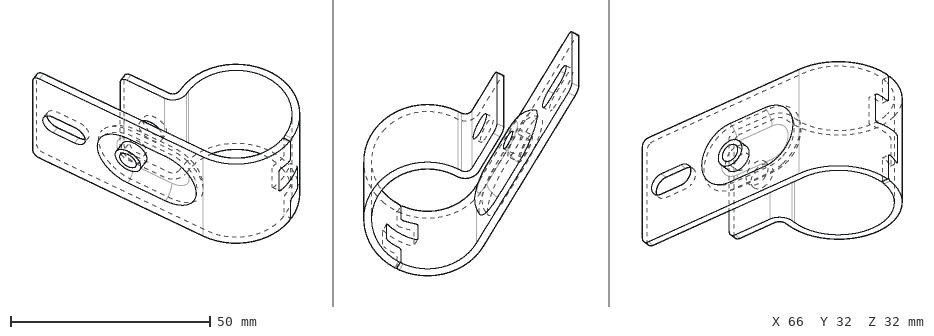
import cadquery as cq
import math


width = 32.0
ring_diameter = 32.0
thickness = 2.0
corner_radius = 2.0
ring_radius = ring_diameter / 2
inner_radius = ring_radius - thickness
overall_length = 66.0
plate_length = overall_length - ring_radius
plate_face = -ring_radius
plate_back = plate_face + thickness

slot_length = 12.5
slot_width = 6.2
slot_end_margin = 3.0
slot_center_x = -plate_length + slot_end_margin + slot_length / 2

dimple_depth = 3.05
dimple_inner_edge_radius = 4.0
dimple_outer_edge_radius = 5.2
dimple_floor_radius = 5.1
dimple_boss_x = -22.05
dimple_far_x = -10.95
dimple_span = dimple_far_x - dimple_boss_x
boss_diameter = 7.5
boss_hole_diameter = 4.9
boss_length = 3.0
dimple_floor_y = plate_face + dimple_depth
dimple_back_y = dimple_floor_y + thickness

flange_end_x = -31.0
flange_hole_diameter = 7.0
bend_radius = 2.0
bend_straight = 1.0
bend_center_x = -ring_radius - bend_radius
bend_outer_radius = bend_radius + thickness
flange_top_y = -bend_straight - bend_radius
flange_bottom_y = flange_top_y - thickness

tongue_reach = 4.5
tongue_height = 8.0
tongue_flare = 0.45
joint_radius = 0.65


def arc_point(center_x, center_y, radius, degrees):
    """Point on a circle at the given angle from +X."""
    angle = math.radians(degrees)
    return center_x + radius * math.cos(angle), center_y + radius * math.sin(angle)


def extrude_width(outline):
    """Extrude a closed XY outline over the full width of the strip."""
    return outline.extrude(width / 2, both=True)


def ring_side():
    """The half of the ring on the +X side, before it is split at the joint."""
    return extrude_width(
        cq.Workplane("XY")
        .moveTo(0, -ring_radius)
        .threePointArc((ring_radius, 0), (0, ring_radius))
        .lineTo(0, inner_radius)
        .threePointArc((inner_radius, 0), (0, -inner_radius))
        .close()
    )


def front_of_joint():
    """Space in front of the stepped joint line, with rounded steps."""
    block = (
        cq.Workplane("YZ")
        .moveTo(-ring_diameter, width)
        .lineTo(0, width)
        .lineTo(0, tongue_height)
        .lineTo(-tongue_reach, tongue_height + tongue_flare)
        .lineTo(-tongue_reach, -tongue_flare)
        .lineTo(tongue_reach, tongue_flare)
        .lineTo(tongue_reach, -tongue_height - tongue_flare)
        .lineTo(0, -tongue_height)
        .lineTo(0, -width)
        .lineTo(-ring_diameter, -width)
        .close()
        .extrude(ring_diameter)
    )
    steps = cq.selectors.BoxSelector(
        (0, -ring_radius, -width / 2), (ring_diameter, ring_radius, width / 2)
    )
    return block.edges("|X").edges(steps).fillet(joint_radius)


def round_joint_ends(half):
    """Round the two outer corners where a half meets the joint plane."""
    middle_x = ring_radius - thickness / 2
    for end_z in (-width / 2, width / 2):
        corner = cq.selectors.NearestToPointSelector((middle_x, 0, end_z))
        half = half.edges("|X").edges(corner).fillet(joint_radius)
    return half


def flat_strip(start_x, end_x, bottom_y):
    """Flat strip with its two corners rounded at the -X end."""
    return (
        cq.Workplane("XY")
        .box(end_x - start_x, thickness, width, centered=(False, False, True))
        .translate((start_x, bottom_y, 0))
        .edges("|Y and <X")
        .fillet(corner_radius)
    )


def obround(radius, start_y, end_y):
    """Obround block along the dimple between two Y levels."""
    return (
        cq.Workplane("XZ", origin=((dimple_boss_x + dimple_far_x) / 2, start_y, 0))
        .slot2D(dimple_span + 2 * radius, 2 * radius)
        .extrude(start_y - end_y)
    )


def dimple_form(edge_radius, start_y, floor_y):
    """Obround form from start_y to floor_y, with a rounded floor edge."""
    radius = dimple_floor_radius + edge_radius
    form = obround(radius, start_y - edge_radius, floor_y)
    rounded = form.faces(">Y").edges().fillet(edge_radius)
    return rounded.intersect(obround(radius, start_y, floor_y))


def y_cylinder(diameter, start_y, end_y):
    """Cylinder along Y on the axis of the boss."""
    return (
        cq.Workplane("XZ", origin=(dimple_boss_x, start_y, 0))
        .circle(diameter / 2)
        .extrude(start_y - end_y)
    )


def make_base_half():
    """Plate with slot, dimple and boss, running into the front of the ring."""
    plate = flat_strip(-plate_length, 0, plate_face)
    slot = (
        cq.Workplane("XZ", origin=(slot_center_x, plate_face, 0))
        .slot2D(slot_length, slot_width)
        .extrude(thickness, both=True)
    )
    hollow = dimple_form(dimple_inner_edge_radius, plate_face, dimple_floor_y)
    dome = dimple_form(dimple_outer_edge_radius, plate_back, dimple_back_y)
    boss = y_cylinder(boss_diameter, dimple_floor_y - boss_length, dimple_floor_y)
    hole = y_cylinder(boss_hole_diameter, plate_face, dimple_back_y)
    plate = plate.cut(slot).union(dome).cut(hollow).union(boss).cut(hole)

    ring_part = round_joint_ends(ring_side().intersect(front_of_joint()))
    return plate.union(ring_part)


def make_clamp_half():
    """Rear of the ring, bent outwards into the clamping flange."""
    ring_part = round_joint_ends(ring_side().cut(front_of_joint()))
    bend = extrude_width(
        cq.Workplane("XY")
        .moveTo(0, ring_radius)
        .threePointArc(arc_point(0, 0, ring_radius, 135), (-ring_radius, 0))
        .lineTo(-ring_radius, -bend_straight)
        .threePointArc(
            arc_point(bend_center_x, -bend_straight, bend_radius, -45),
            (bend_center_x, flange_top_y),
        )
        .lineTo(bend_center_x, flange_bottom_y)
        .threePointArc(
            arc_point(bend_center_x, -bend_straight, bend_outer_radius, -45),
            (-inner_radius, -bend_straight),
        )
        .lineTo(-inner_radius, 0)
        .threePointArc(arc_point(0, 0, inner_radius, 135), (0, inner_radius))
        .close()
    )
    flange = flat_strip(flange_end_x, bend_center_x, flange_bottom_y)
    hole = y_cylinder(flange_hole_diameter, flange_bottom_y, flange_top_y)
    return ring_part.union(bend).union(flange).cut(hole)


base_half = make_base_half()
clamp_half = make_clamp_half()

result = cq.Compound.makeCompound([base_half.val(), clamp_half.val()])